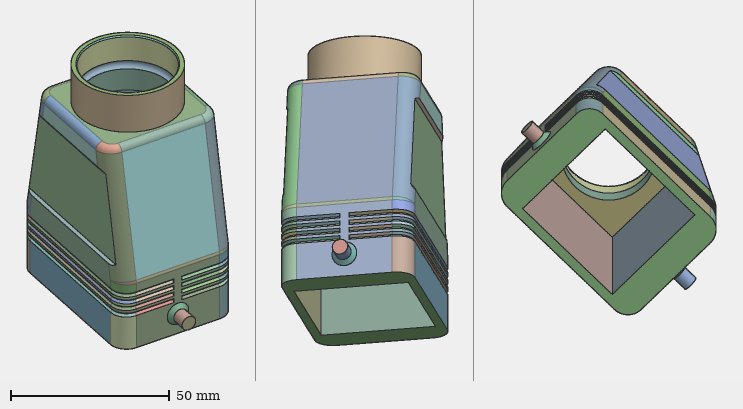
import cadquery as cq
import math

base_length = 60.0
body_width = 43.0
body_height = 71.5
total_height = 85.5
pin_span = 73.0

bend_height = 25.05
taper_angle = 11.0
bend_radius = 6.0
corner_radius = 6.0
top_edge_radius = 2.5

recess_bottom = 31.0
recess_top = 62.1
recess_depth = 0.9

groove_count = 4
groove_pitch = 2.5
groove_width = 1.5
lowest_groove = 13.0
groove_gap = 3.0

collar_radius = 18.0
rim_radius = 16.4
rim_chamfer_height = 0.5
entry_radius = 16.05
entry_depth = 9.5
neck_radius = 15.0
seal_groove_radius = 1.45

roof_height = 65.5
cavity_length = 40.0
cavity_width = 37.0

pin_height = 7.5
pin_radius = 2.5
pin_cone_radius = 4.0
pin_cone_length = 1.5
pin_embed = 2.0


def half_length_at(height):
    """Half of the body's X size at a height above the bend."""
    return base_length / 2 - (height - bend_height) * math.tan(math.radians(taper_angle))


def make_body():
    """Rounded hood with an upright base and end walls that lean inwards above the bend."""
    half_base = base_length / 2
    half_top = half_length_at(body_height)
    outline = [
        (-half_base, 0),
        (half_base, 0),
        (half_base, bend_height),
        (half_top, body_height),
        (-half_top, body_height),
        (-half_base, bend_height),
    ]
    body = cq.Workplane("XZ").polyline(outline).close().extrude(body_width / 2, both=True)
    for x in (-half_base, half_base):
        body = body.edges(cq.selectors.NearestToPointSelector((x, 0, bend_height))).fillet(bend_radius)
    body = body.faces("<Y or >Y").edges("not(#Z)").fillet(corner_radius)
    return body.faces(">Z").edges().fillet(top_edge_radius)


def make_recess(side):
    """Cutter for the shallow recess with sloping ends; side is -1 or +1 along Y."""
    floor_y = side * (body_width / 2 - recess_depth)
    face_y = side * body_width / 2
    outline = [
        (floor_y, recess_bottom),
        (face_y, recess_bottom - recess_depth),
        (face_y, recess_top + recess_depth),
        (floor_y, recess_top),
    ]
    return cq.Workplane("YZ").polyline(outline).close().extrude(base_length / 2, both=True)


def base_outline(inset, height):
    """Rounded base outline at a height, shrunk evenly by the inset."""
    outline = cq.Sketch().rect(base_length - 2 * inset, body_width - 2 * inset)
    outline = outline.vertices().fillet(corner_radius - inset)
    return outline.moved(cq.Location(cq.Vector(0, 0, height)))


def make_groove(height):
    """V groove cutter running round the base, leaving the end-wall strips plain."""
    half_width = groove_width / 2
    depth = half_width
    ring = cq.Workplane("XY").box(base_length, body_width, groove_width)
    narrow = base_outline(depth, 0)
    for level in (-half_width, half_width):
        ring = ring.cut(cq.Workplane("XY").placeSketch(narrow, base_outline(0, level)).loft())
    strip = cq.Workplane("XY").box(base_length, groove_gap, groove_width)
    return ring.cut(strip).translate((0, 0, height))


def make_collar():
    height = total_height - roof_height
    return cq.Workplane("XY").workplane(offset=roof_height).circle(collar_radius).extrude(height)


def make_bore():
    """Revolved cutter: chamfered rim, entry bore, round seal groove, narrower neck."""
    entry_bottom = total_height - entry_depth
    seal_rise = math.sqrt(seal_groove_radius**2 - (entry_radius - neck_radius) ** 2)
    seal_centre = entry_bottom - seal_rise
    return (
        cq.Workplane("XZ")
        .moveTo(0, total_height)
        .lineTo(rim_radius, total_height)
        .lineTo(entry_radius, total_height - rim_chamfer_height)
        .lineTo(entry_radius, entry_bottom)
        .threePointArc(
            (neck_radius + seal_groove_radius, seal_centre),
            (neck_radius, seal_centre - seal_groove_radius),
        )
        .lineTo(neck_radius, roof_height)
        .lineTo(0, roof_height)
        .close()
        .revolve(360, (0, 0), (0, 1))
    )


def make_cavity():
    """Straight rectangular pocket from the open bottom up to the roof."""
    return cq.Workplane("XY").rect(cavity_length, cavity_width).extrude(roof_height)


def make_pin(side):
    """Locking pin with a conical root; side is -1 or +1 along X."""
    wall_x = base_length / 2
    root_x = wall_x - pin_embed
    cone_end_x = wall_x + pin_cone_length
    outline = [
        (root_x, 0),
        (root_x, pin_cone_radius),
        (wall_x, pin_cone_radius),
        (cone_end_x, pin_radius),
        (pin_span / 2, pin_radius),
        (pin_span / 2, 0),
    ]
    pin = cq.Workplane("XY").polyline(outline).close().revolve(360, (0, 0), (1, 0))
    if side < 0:
        pin = pin.mirror("YZ")
    return pin.translate((0, 0, pin_height))


hood = make_body()
for face_side in (-1, 1):
    hood = hood.cut(make_recess(face_side))
for index in range(groove_count):
    hood = hood.cut(make_groove(lowest_groove + index * groove_pitch))
hood = hood.union(make_collar())
for end_side in (-1, 1):
    hood = hood.union(make_pin(end_side))
hood = hood.cut(make_cavity())
result = hood.cut(make_bore())